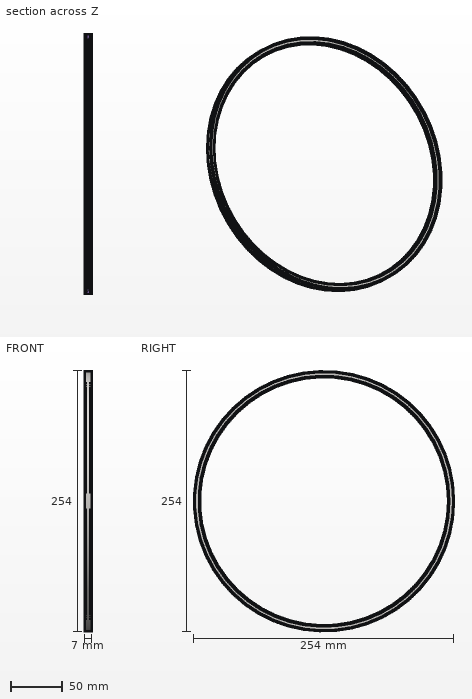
import cadquery as cq

outer_diameter = 254.0
ring_width = 7.0
flange_inner_diameter = 252.0
web_thickness = 3.8
bead_outer_diameter = 246.6
bead_crest_diameter = 244.9
bead_crest_width = 4.3
bore_diameter = 242.0
bore_width = 1.5

half_section = [
    (bore_width / 2, bore_diameter / 2),
    (bead_crest_width / 2, bead_crest_diameter / 2),
    (web_thickness / 2, bead_outer_diameter / 2),
    (web_thickness / 2, flange_inner_diameter / 2),
    (ring_width / 2, flange_inner_diameter / 2),
    (ring_width / 2, outer_diameter / 2),
]
mirrored_section = [(-x, radius) for x, radius in reversed(half_section)]

result = (
    cq.Workplane("XY")
    .polyline(half_section + mirrored_section)
    .close()
    .revolve(360, (0, 0, 0), (1, 0, 0))
)